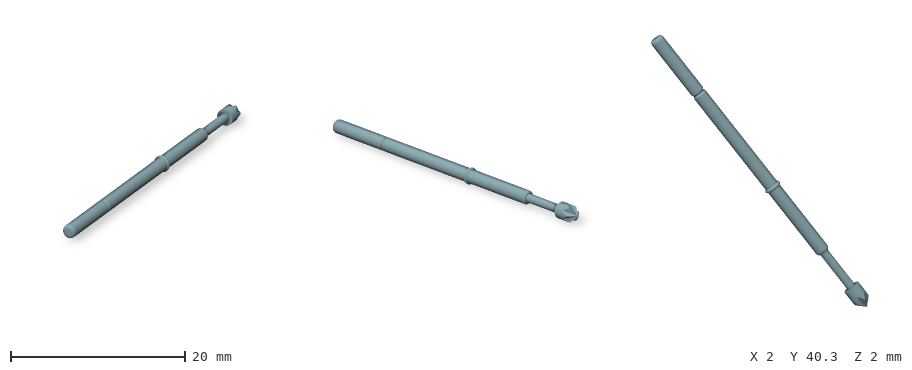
import cadquery as cq
import math

total_length = 40.3

head_diameter = 2.0
head_length = 3.0
ridge_count = 6
ridge_half_angle = 45.0
valley_half_angle = 28.0

shaft_diameter = 1.05

barrel_diameter = 1.65
barrel_length = 32.0
mouth_chamfer_length = 0.25
mouth_chamfer_depth = 0.15
tail_radius = 0.4

ring_diameter = 2.0
ring_width = 0.45
ring_center = total_length - 18.0

groove_width = 0.45
groove_depth = 0.15
groove_center = 8.2

head_radius = head_diameter / 2
shaft_radius = shaft_diameter / 2
barrel_radius = barrel_diameter / 2
head_base = total_length - head_length


def make_barrel():
    """Barrel with a rounded tail, a chamfered mouth and a shallow V groove."""
    tail_bend = tail_radius * math.sqrt(0.5)
    tail_center_radius = barrel_radius - tail_radius
    return (
        cq.Workplane("XY")
        .lineTo(tail_center_radius, 0)
        .threePointArc(
            (tail_center_radius + tail_bend, tail_radius - tail_bend),
            (barrel_radius, tail_radius),
        )
        .lineTo(barrel_radius, groove_center - groove_width / 2)
        .lineTo(barrel_radius - groove_depth, groove_center)
        .lineTo(barrel_radius, groove_center + groove_width / 2)
        .lineTo(barrel_radius, barrel_length - mouth_chamfer_length)
        .lineTo(barrel_radius - mouth_chamfer_depth, barrel_length)
        .lineTo(0, barrel_length)
        .close()
        .revolve(360, (0, 0, 0), (0, 1, 0))
    )


def make_ring():
    """Press ring with a fully rounded rim."""
    rim_radius = ring_width / 2
    rim_center = ring_diameter / 2 - rim_radius
    return (
        cq.Workplane("XY")
        .moveTo(0, ring_center - rim_radius)
        .lineTo(rim_center, ring_center - rim_radius)
        .threePointArc((ring_diameter / 2, ring_center), (rim_center, ring_center + rim_radius))
        .lineTo(0, ring_center + rim_radius)
        .close()
        .revolve(360, (0, 0, 0), (0, 1, 0))
    )


def cylinder_along_y(radius, start, end):
    """Solid cylinder on the Y axis between two stations."""
    base_center = cq.Vector(0, start, 0)
    direction = cq.Vector(0, 1, 0)
    return cq.Workplane(cq.Solid.makeCylinder(radius, end - start, base_center, direction))


def make_star_point():
    """Star-shaped point with alternating ridges and valleys; the first ridge lies toward +X."""
    ridge_reach = head_length * math.tan(math.radians(ridge_half_angle))
    valley_reach = head_length * math.tan(math.radians(valley_half_angle))
    corners = []
    for i in range(2 * ridge_count):
        angle = math.pi * i / ridge_count
        reach = ridge_reach if i % 2 == 0 else valley_reach
        corners.append(cq.Vector(reach * math.cos(angle), head_base, reach * math.sin(angle)))

    apex = cq.Vector(0, total_length, 0)
    faces = [cq.Face.makeFromWires(cq.Wire.makePolygon(corners, close=True))]
    for i in range(len(corners)):
        side = cq.Wire.makePolygon([corners[i - 1], corners[i], apex], close=True)
        faces.append(cq.Face.makeFromWires(side))
    return cq.Workplane(cq.Solid.makeSolid(cq.Shell.makeShell(faces)))


def make_head():
    """Round head ground to a star-shaped point."""
    blank = cylinder_along_y(head_radius, head_base, total_length)
    return blank.intersect(make_star_point())


shaft = cylinder_along_y(shaft_radius, barrel_length, head_base)
result = make_barrel().union(make_ring()).union(shaft).union(make_head())